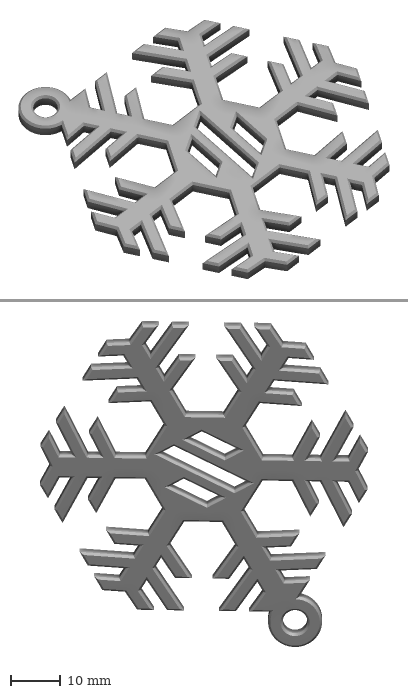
import cadquery as cq
import math

overall_length = 76.8
flake_height = 61.75
thickness = 3.0
edge_chamfer = 0.45

arm_count = 6
arm_angle = 360 / arm_count
hub_apothem = 11.6
arm_width = 5.0

barb_slope = 2.0
barb_width = 2.85
barb_length_on_axis = barb_width * math.hypot(1, 1 / barb_slope)
first_barb_start = 16.7
barb_pitch = 5.7
tip_start = first_barb_start + 2 * barb_pitch
tip_notch_start = tip_start + barb_length_on_axis

first_barb_apothem = 23.9
flake_apothem = flake_height / 2

ring_diameter = 11.0
ring_hole_diameter = 5.0

slot_half_length = 7.18
slot_height = 3.4
slot_pitch = 6.45
slot_slope = -0.66
slot_offset = 0.1


def corner_radius(apothem):
    return apothem / math.cos(math.pi / arm_count)


def hexagon(apothem):
    """Hexagonal plate with two corners on the X axis."""
    return cq.Workplane("XY").polygon(arm_count, 2 * corner_radius(apothem)).extrude(thickness)


def prism(points):
    return cq.Workplane("XY").polyline(points).close().extrude(thickness)


def barb_pair(start, apothem):
    """Bars leaning outward on both sides of the +X arm, trimmed by a hexagon."""
    lean = apothem / barb_slope
    upper = prism([
        (start, 0),
        (start + barb_length_on_axis, 0),
        (start + barb_length_on_axis + lean, apothem),
        (start + lean, apothem),
    ])
    return upper.union(upper.mirror("XZ")).intersect(hexagon(apothem))


def tip_wedge(start):
    """Part of the flake hexagon's +X corner inside a V that opens outward."""
    lean = flake_apothem / barb_slope
    opening = prism([
        (start, 0),
        (start + lean, flake_apothem),
        (start + flake_apothem, flake_apothem),
        (start + flake_apothem, -flake_apothem),
        (start + lean, -flake_apothem),
    ])
    return opening.intersect(hexagon(flake_apothem))


def pointed_arm():
    """Arm along +X whose tip is the corner of the flake hexagon."""
    bar = cq.Workplane("XY").box(tip_notch_start, arm_width, thickness, centered=(False, True, False))
    arm = bar.union(barb_pair(first_barb_start, first_barb_apothem))
    arm = arm.union(barb_pair(first_barb_start + barb_pitch, flake_apothem))
    return arm.union(tip_wedge(tip_start))


def slot(x_start, x_end, y_shift):
    """Parallelogram with upright ends and sloping long sides."""
    y_start = slot_slope * x_start + slot_offset + y_shift
    y_end = slot_slope * x_end + slot_offset + y_shift
    half_height = slot_height / 2
    return prism([
        (x_start, y_start - half_height),
        (x_end, y_end - half_height),
        (x_end, y_end + half_height),
        (x_start, y_start + half_height),
    ])


full_arm = pointed_arm()
notched_arm = full_arm.cut(tip_wedge(tip_notch_start))
ring_arm_index = arm_count // 2
body = hexagon(hub_apothem)
for index in range(arm_count):
    arm = full_arm if index == ring_arm_index else notched_arm
    body = body.union(arm.rotate((0, 0, 0), (0, 0, 1), index * arm_angle))

hexagon_slope = math.tan(math.radians(arm_angle))
notch_to_corner = corner_radius(flake_apothem) - tip_notch_start
tip_x = tip_notch_start + notch_to_corner * hexagon_slope / (hexagon_slope + barb_slope)
ring_x = tip_x - overall_length + ring_diameter / 2
ring_plane = cq.Workplane("XY").center(ring_x, 0)
body = body.union(ring_plane.circle(ring_diameter / 2).extrude(thickness))
body = body.cut(ring_plane.circle(ring_hole_diameter / 2).extrude(thickness))

body = body.cut(slot(-slot_half_length, slot_half_length, 0))
body = body.cut(slot(0, slot_half_length, slot_pitch))
body = body.cut(slot(-slot_half_length, 0, -slot_pitch))

result = body.clean().faces("|Z").edges().chamfer(edge_chamfer)